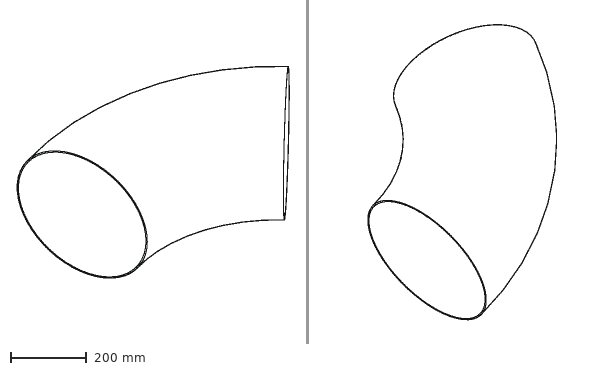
import cadquery as cq
import math

length = 704.0
bend_angle = 60.0
bend_to_diameter = 1.5
wall = 4.0

outside_bend_radius = length / math.sin(math.radians(bend_angle))
outer_diameter = outside_bend_radius / (bend_to_diameter + 0.5)
outer_radius = outer_diameter / 2
inner_radius = outer_radius - wall
bend_radius = bend_to_diameter * outer_diameter

result = (
    cq.Workplane("XZ")
    .circle(outer_radius)
    .circle(inner_radius)
    .revolve(bend_angle, (bend_radius, 7, 0), (bend_radius, 0, 0))
)